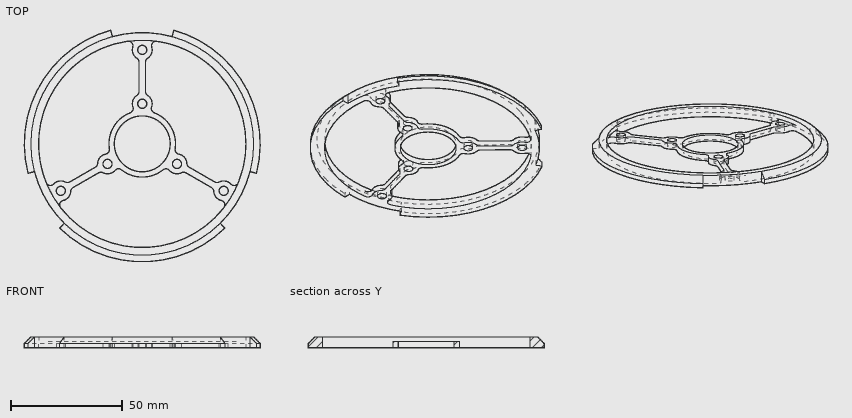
import cadquery as cq
import math

RING_HEIGHT = 5.0
RING_OUTER_RADIUS = 50.0
RING_INNER_RADIUS = 46.5

FLANGE_RADIUS = 53.0
FLANGE_CHAMFER = FLANGE_RADIUS - RING_OUTER_RADIUS
FLANGE_RIM_HEIGHT = RING_HEIGHT - FLANGE_CHAMFER
FLANGE_SPAN = 89.0

SPIDER_THICKNESS = 2.9
HUB_OUTER_RADIUS = 15.0
HUB_BORE_RADIUS = 12.5
SPOKE_COUNT = 3
SPOKE_WIDTH = 3.0
FIRST_SPOKE_ANGLE = 90.0
BOSS_RADIUS = 4.5
SCREW_HOLE_RADIUS = 2.0
INNER_BOSS_DISTANCE = 18.0
OUTER_BOSS_DISTANCE = 42.2
CORNER_RADIUS = 2.0
BLANK_RADIUS = (RING_INNER_RADIUS + RING_OUTER_RADIUS) / 2

SPOKE_PITCH = 360.0 / SPOKE_COUNT
SPOKE_ANGLES = [FIRST_SPOKE_ANGLE + i * SPOKE_PITCH for i in range(SPOKE_COUNT)]


def disc(radius, height, distance=0.0):
    """Upright cylinder on the base plane, its axis at the given distance along +X."""
    return cq.Workplane("XY").center(distance, 0).circle(radius).extrude(height)


def turned(body, angle):
    """Body rotated about the part's axis."""
    return body.rotate((0, 0, 0), (0, 0, 1), angle)


def make_flange():
    """Arc with a 45 degree chamfered rim, overlapping the ring wall, starting at +X."""
    profile = [
        (RING_INNER_RADIUS, 0),
        (FLANGE_RADIUS, 0),
        (FLANGE_RADIUS, FLANGE_RIM_HEIGHT),
        (RING_OUTER_RADIUS, RING_HEIGHT),
        (RING_INNER_RADIUS, RING_HEIGHT),
    ]
    section = cq.Workplane("XZ").polyline(profile).close()
    return section.revolve(FLANGE_SPAN, (0, 0, 0), (0, 1, 0))


def make_ring():
    """Plain ring with one flange opposite each spoke."""
    ring = disc(RING_OUTER_RADIUS, RING_HEIGHT).cut(disc(RING_INNER_RADIUS, RING_HEIGHT))
    flange = make_flange()
    for angle in SPOKE_ANGLES:
        flange_start = angle + 180.0 - FLANGE_SPAN / 2
        ring = ring.union(turned(flange, flange_start))
    return ring


def make_spoke():
    """Solid spoke along +X with its two bosses."""
    spoke = (
        cq.Workplane("XY")
        .center(OUTER_BOSS_DISTANCE / 2, 0)
        .rect(OUTER_BOSS_DISTANCE, SPOKE_WIDTH)
        .extrude(SPIDER_THICKNESS)
    )
    for distance in (INNER_BOSS_DISTANCE, OUTER_BOSS_DISTANCE):
        spoke = spoke.union(disc(BOSS_RADIUS, SPIDER_THICKNESS, distance))
    return spoke


def make_boss_web():
    """Web from the outer boss on +X into the ring, its flanks tangent to the boss and the ring."""
    axis_reach = RING_INNER_RADIUS - CORNER_RADIUS
    boss_reach = BOSS_RADIUS + CORNER_RADIUS
    arc_x = (axis_reach**2 + OUTER_BOSS_DISTANCE**2 - boss_reach**2) / (2 * OUTER_BOSS_DISTANCE)
    arc_y = math.sqrt(axis_reach**2 - arc_x**2)

    to_wall = BLANK_RADIUS / axis_reach
    outline = [
        (OUTER_BOSS_DISTANCE, 0),
        (arc_x, arc_y),
        (arc_x * to_wall, arc_y * to_wall),
        (arc_x * to_wall, -arc_y * to_wall),
        (arc_x, -arc_y),
    ]
    web = cq.Workplane("XY").polyline(outline).close().extrude(SPIDER_THICKNESS)
    flanks = (
        cq.Workplane("XY")
        .pushPoints([(arc_x, arc_y), (arc_x, -arc_y)])
        .circle(CORNER_RADIUS)
        .extrude(SPIDER_THICKNESS)
    )
    return web.cut(flanks)


def is_inner_corner(edge):
    """True for upright edges nearer the part's axis than the outer bosses."""
    centre = edge.Center()
    return math.hypot(centre.x, centre.y) < OUTER_BOSS_DISTANCE - BOSS_RADIUS / 2


def make_spider():
    """Disc opened by rounded windows that leave the hub, spokes and bosses."""
    windows = turned(disc(BLANK_RADIUS, SPIDER_THICKNESS), FIRST_SPOKE_ANGLE)
    windows = windows.cut(turned(disc(HUB_OUTER_RADIUS, SPIDER_THICKNESS), FIRST_SPOKE_ANGLE))
    spoke = make_spoke()
    for angle in SPOKE_ANGLES:
        windows = windows.cut(turned(spoke, angle))
    windows = windows.edges("|Z").filter(is_inner_corner).fillet(CORNER_RADIUS)

    web = make_boss_web()
    for angle in SPOKE_ANGLES:
        windows = windows.cut(turned(web, angle))
    windows = windows.intersect(disc(RING_INNER_RADIUS, SPIDER_THICKNESS))

    spider = disc(BLANK_RADIUS, SPIDER_THICKNESS).cut(windows)
    spider = spider.cut(disc(HUB_BORE_RADIUS, SPIDER_THICKNESS))
    for distance in (INNER_BOSS_DISTANCE, OUTER_BOSS_DISTANCE):
        hole = disc(SCREW_HOLE_RADIUS, SPIDER_THICKNESS, distance)
        for angle in SPOKE_ANGLES:
            spider = spider.cut(turned(hole, angle))
    return spider


result = make_ring().union(make_spider())